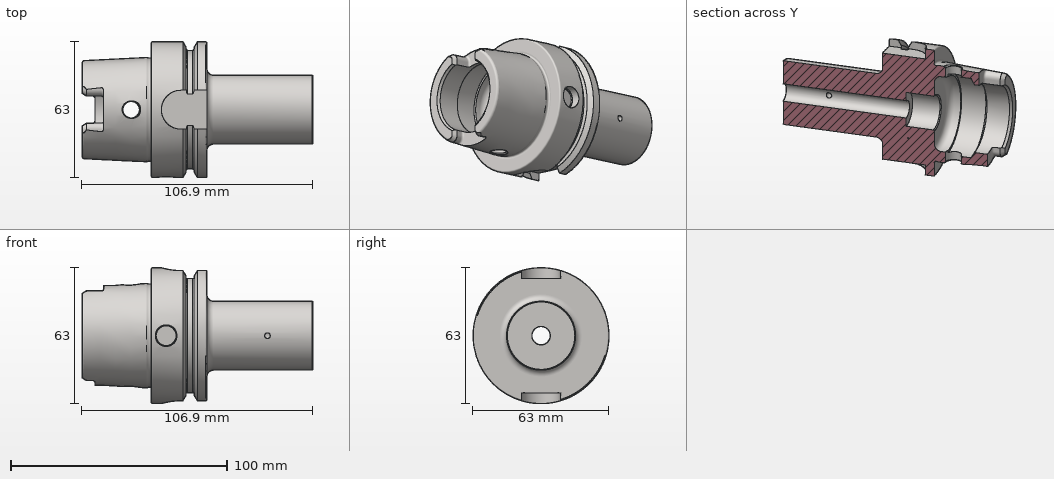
import cadquery as cq
import math


taper_length = 32.0
gauge_offset = 6.3
gauge_diameter = 48.0
taper_ratio = 1 / 9.98
tip_fillet = 1.2

undercut_start = -2.1
undercut_ramp_end = -1.1
undercut_radius = 23.95
undercut_fillet = 0.7
undercut_face_depth = 0.1
undercut_face_radius = 25.3

flange_radius = 31.5
flange_length = 25.8
flange_front_fillet = 0.75
flange_rear_fillet = 0.6
groove_center = 18.0
groove_mouth_width = 6.8
groove_floor_width = 2.3
groove_floor_radius = 27.5
groove_corner_fillet = 0.65
groove_throat_radius = 29.0

shank_radius = 16.0
shank_end = 74.9
shank_fillet = 3.0
shank_end_chamfer = 0.4

mouth_radius = 17.5
lip_radius = 16.75
mouth_chamfer_angle = 30.0
lip_end = -19.6
clamp_radius = 19.6
clamp_shoulder_angle = 60.0
clamp_end = -6.0
bore_radius = 18.5
bore_end = 0.0
bore_floor_fillet = 3.0
tube_radius = 8.3
tube_chamfer = 0.5
tube_seat_end = 14.0
through_radius = 4.2

drive_slot_half_width = 6.25
drive_slot_shoulder = 20.8
drive_slot_corner = 3.0
drive_slot_floor_fillet = 1.0
drive_slot_flare_width = 1.3
drive_slot_flare_length = 2.0
upper_drive_slot_length = 10.0
lower_drive_slot_length = 5.9

keyway_half_width = 9.0
keyway_floor = 26.5
keyway_start = 4.7

clamp_hole_x = -9.3
clamp_hole_diameter = 7.6
clamp_hole_chamfer = 0.6
chip_hole_x = 6.9
chip_hole_diameter = 10.0
chip_hole_depth = 4.6
chip_hole_floor_chamfer = 0.4
coolant_hole_x = 53.8
coolant_hole_diameter = 2.6


def taper_radius(x):
    """Radius of the taper at an axial position."""
    return gauge_diameter / 2 + (x + gauge_offset) * taper_ratio / 2


def on_circle(center, radius, angle):
    """Point on a circle at an angle in degrees."""
    turn = math.radians(angle)
    return (center[0] + radius * math.cos(turn), center[1] + radius * math.sin(turn))


def outer_body():
    tip = -taper_length
    tip_side = tip + tip_fillet
    tip_center = (tip_side, taper_radius(tip_side) - tip_fillet)

    undercut_center = (undercut_face_depth - undercut_fillet, undercut_radius + undercut_fillet)

    front_center = (flange_front_fillet, flange_radius - flange_front_fillet)
    rear_center = (flange_length - flange_rear_fillet, flange_radius - flange_rear_fillet)

    mouth_left = groove_center - groove_mouth_width / 2
    mouth_right = groove_center + groove_mouth_width / 2
    floor_left = groove_center - groove_floor_width / 2
    floor_right = groove_center + groove_floor_width / 2
    throat_left = floor_left - groove_corner_fillet
    throat_right = floor_right + groove_corner_fillet
    corner_radius = groove_floor_radius + groove_corner_fillet

    neck_center = (flange_length + shank_fillet, shank_radius + shank_fillet)

    return (
        cq.Workplane("XY")
        .moveTo(tip, 0)
        .lineTo(tip, tip_center[1])
        .threePointArc(on_circle(tip_center, tip_fillet, 135), (tip_side, taper_radius(tip_side)))
        .lineTo(undercut_start, taper_radius(undercut_start))
        .lineTo(undercut_ramp_end, undercut_radius)
        .lineTo(undercut_center[0], undercut_radius)
        .threePointArc(
            on_circle(undercut_center, undercut_fillet, -45),
            (undercut_face_depth, undercut_center[1]),
        )
        .lineTo(0, undercut_face_radius)
        .lineTo(0, front_center[1])
        .threePointArc(
            on_circle(front_center, flange_front_fillet, 135),
            (front_center[0], flange_radius),
        )
        .lineTo(mouth_left, flange_radius)
        .lineTo(throat_left, groove_throat_radius)
        .lineTo(throat_left, corner_radius)
        .threePointArc(
            on_circle((floor_left, corner_radius), groove_corner_fillet, -135),
            (floor_left, groove_floor_radius),
        )
        .lineTo(floor_right, groove_floor_radius)
        .threePointArc(
            on_circle((floor_right, corner_radius), groove_corner_fillet, -45),
            (throat_right, corner_radius),
        )
        .lineTo(throat_right, groove_throat_radius)
        .lineTo(mouth_right, flange_radius)
        .lineTo(rear_center[0], flange_radius)
        .threePointArc(
            on_circle(rear_center, flange_rear_fillet, 45), (flange_length, rear_center[1])
        )
        .lineTo(flange_length, neck_center[1])
        .threePointArc(on_circle(neck_center, shank_fillet, -135), (neck_center[0], shank_radius))
        .lineTo(shank_end - shank_end_chamfer, shank_radius)
        .lineTo(shank_end, shank_radius - shank_end_chamfer)
        .lineTo(shank_end, 0)
        .close()
        .revolve(360, (0, 0, 0), (1, 0, 0))
    )


def stepped_bore():
    tip = -taper_length
    chamfer_length = (mouth_radius - lip_radius) / math.tan(math.radians(mouth_chamfer_angle))
    shoulder_length = (clamp_radius - lip_radius) / math.tan(math.radians(clamp_shoulder_angle))
    floor_center = (bore_end - bore_floor_fillet, bore_radius - bore_floor_fillet)
    return (
        cq.Workplane("XY")
        .moveTo(tip, 0)
        .lineTo(tip, mouth_radius)
        .lineTo(tip + chamfer_length, lip_radius)
        .lineTo(lip_end, lip_radius)
        .lineTo(lip_end + shoulder_length, clamp_radius)
        .lineTo(clamp_end, clamp_radius)
        .lineTo(clamp_end, bore_radius)
        .lineTo(floor_center[0], bore_radius)
        .threePointArc(
            on_circle(floor_center, bore_floor_fillet, 45), (bore_end, floor_center[1])
        )
        .lineTo(bore_end, tube_radius + tube_chamfer)
        .lineTo(bore_end + tube_chamfer, tube_radius)
        .lineTo(tube_seat_end, tube_radius)
        .lineTo(tube_seat_end, through_radius)
        .lineTo(shank_end, through_radius)
        .lineTo(shank_end, 0)
        .close()
        .revolve(360, (0, 0, 0), (1, 0, 0))
    )


def drive_slot_outline(plane, growth):
    """T-shaped slot section with rounded shoulders, widened all round by growth."""
    half = drive_slot_half_width + growth
    shoulder = drive_slot_shoulder - growth
    corner = drive_slot_corner - growth
    outside = flange_radius
    right_center = (half + corner, shoulder - corner)
    left_center = (-right_center[0], right_center[1])
    return (
        plane.moveTo(-half, 0)
        .lineTo(half, 0)
        .lineTo(half, right_center[1])
        .threePointArc(on_circle(right_center, corner, 135), (right_center[0], shoulder))
        .lineTo(outside, shoulder)
        .lineTo(outside, outside)
        .lineTo(-outside, outside)
        .lineTo(-outside, shoulder)
        .lineTo(left_center[0], shoulder)
        .threePointArc(on_circle(left_center, corner, 45), (-half, left_center[1]))
        .close()
    )


def drive_slot(length):
    """Cutter for the slot on the +Z side, flared where it meets the open end."""
    tip_plane = cq.Workplane("YZ", origin=(-taper_length, 0, 0))
    slot = drive_slot_outline(tip_plane, 0).extrude(length)
    slot = slot.faces(">X").edges().fillet(drive_slot_floor_fillet)
    flare_start = drive_slot_outline(tip_plane, drive_slot_flare_width)
    flare_end_plane = flare_start.workplane(offset=drive_slot_flare_length)
    flare = drive_slot_outline(flare_end_plane, 0).loft(ruled=True)
    return slot.union(flare)


def keyway():
    """Cutter for the round-ended keyway on the +Z side, open toward the shank."""
    end_center = keyway_start + keyway_half_width
    return (
        cq.Workplane("XY", origin=(0, 0, keyway_floor))
        .moveTo(end_center, keyway_half_width)
        .threePointArc((keyway_start, 0), (end_center, -keyway_half_width))
        .lineTo(flange_length, -keyway_half_width)
        .lineTo(flange_length, keyway_half_width)
        .close()
        .extrude(flange_radius)
    )


def clamp_hole():
    """Cutter for one chamfered access hole through the +Z wall of the taper shank."""
    surface = taper_radius(clamp_hole_x)
    radius = clamp_hole_diameter / 2
    rim = radius + clamp_hole_chamfer
    return (
        cq.Workplane("XZ", origin=(clamp_hole_x, 0, 0))
        .lineTo(radius, 0)
        .lineTo(radius, surface - clamp_hole_chamfer)
        .lineTo(rim, surface)
        .lineTo(rim, flange_radius)
        .lineTo(0, flange_radius)
        .close()
        .revolve(360, (0, 0, 0), (0, 1, 0))
    )


def chip_hole():
    """Cutter for the flat-bottomed hole in the -Y side of the flange."""
    floor = flange_radius - chip_hole_depth
    return (
        cq.Workplane("XZ", origin=(chip_hole_x, -floor, 0))
        .circle(chip_hole_diameter / 2)
        .extrude(flange_radius)
        .faces(">Y")
        .chamfer(chip_hole_floor_chamfer)
    )


def coolant_hole():
    """Cutter for the small hole from the -Y side of the shank to the through bore."""
    return (
        cq.Workplane("XZ", origin=(coolant_hole_x, 0, 0))
        .circle(coolant_hole_diameter / 2)
        .extrude(flange_radius)
    )


def below(cutter):
    """The same cutter moved to the -Z side."""
    return cutter.rotate((0, 0, 0), (1, 0, 0), 180)


result = outer_body()
result = result.cut(drive_slot(upper_drive_slot_length))
result = result.cut(below(drive_slot(lower_drive_slot_length)))
result = result.cut(stepped_bore())
for cutter in (keyway(), clamp_hole()):
    result = result.cut(cutter).cut(below(cutter))
result = result.cut(chip_hole())
result = result.cut(coolant_hole())